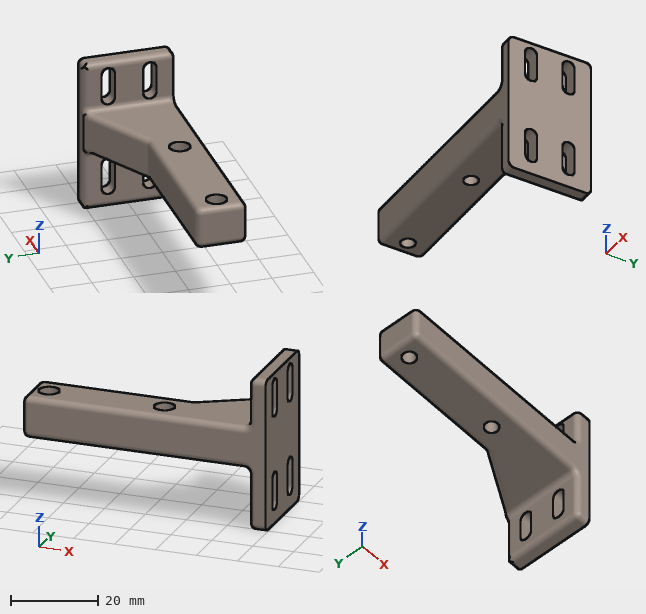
import cadquery as cq

total_length = 59.4
plate_width = 22.0
plate_height = 37.0
plate_thickness = 4.0
plate_face_x = total_length - plate_thickness

arm_width = 12.0
arm_height = 10.0
arm_center_z = 20.0
arm_bottom_z = arm_center_z - arm_height / 2
gusset_start_x = 37.5
edge_radius = 1.5
margin = 0.05
overhang = 5.95

hole_positions_x = (4.3, 32.5)
hole_y = arm_width / 2
hole_diameter = 3.55
counterbore_diameter = 4.85
counterbore_depth = arm_height / 2

slot_width = 3.15
slot_length = 9.2
slot_spacing = 10.0
slot_centers_z = (8.0, 30.95)


def make_profile_body(start_x, start_y, end_y):
    """T-shaped arm and plate with blended inner corners, swept along Y."""
    arm = cq.Workplane("XY").box(
        total_length - start_x, end_y - start_y, arm_height, centered=False
    ).translate((start_x, start_y, arm_bottom_z))
    plate = cq.Workplane("XY").box(
        plate_thickness, end_y - start_y, plate_height, centered=False
    ).translate((plate_face_x, start_y, 0))
    inner_corners = cq.selectors.BoxSelector(
        (plate_face_x - margin, start_y - margin, arm_bottom_z - margin),
        (plate_face_x + margin, end_y + margin, arm_bottom_z + arm_height + margin),
    )
    return plate.union(arm).edges("|Y").edges(inner_corners).fillet(edge_radius)


def make_gusset_body():
    """Arm and plate bounded by the slope, which runs on past the plate; edges rounded."""
    slope = (plate_width - arm_width) / (plate_face_x - gusset_start_x)
    slope_end_y = arm_width + slope * (total_length - gusset_start_x)
    plan = (
        cq.Workplane("XY")
        .lineTo(total_length, 0)
        .lineTo(total_length, slope_end_y)
        .lineTo(gusset_start_x, arm_width)
        .lineTo(0, arm_width)
        .close()
        .extrude(plate_height)
    )
    body = make_profile_body(0, 0, slope_end_y).intersect(plan)
    concave_bend = cq.selectors.BoxSelector(
        (gusset_start_x - margin, arm_width - margin, 0),
        (gusset_start_x + margin, arm_width + margin, plate_height),
    )
    body = body.edges("|Z").edges(concave_bend).fillet(edge_radius)

    def is_outer_edge(edge):
        box = edge.BoundingBox()
        on_back_face = box.xmin > total_length - margin
        spans_width = box.ymin < margin and box.ymax > arm_width + margin
        bounds_blend = spans_width and margin < box.zmin < plate_height - margin
        borders_bend = (
            edge.geomType() == "LINE"
            and box.zmax - box.zmin > arm_height - margin
            and margin < box.xmin < plate_face_x - margin
        )
        return not (on_back_face or bounds_blend or borders_bend)

    outer_edges = [edge for edge in body.edges().vals() if is_outer_edge(edge)]
    return body.newObject(outer_edges).fillet(edge_radius)


def make_far_side_envelope():
    """Oversized arm and plate whose +Y side is in place and rounded all around."""
    body = make_profile_body(-overhang, -overhang, plate_width)
    return body.faces(">Y").edges("not >X").edges("not <X").fillet(edge_radius)


def cut_arm_holes(body):
    arm_top_z = arm_bottom_z + arm_height
    return (
        body.copyWorkplane(cq.Workplane("XY", origin=(0, 0, arm_top_z)))
        .pushPoints([(x, hole_y) for x in hole_positions_x])
        .cboreHole(hole_diameter, counterbore_diameter, counterbore_depth, arm_height)
    )


def cut_plate_slots(body):
    slot_centers = [
        (plate_width / 2 + side * slot_spacing / 2, z)
        for side in (-1, 1)
        for z in slot_centers_z
    ]
    slots = (
        cq.Workplane("YZ", origin=(plate_face_x - edge_radius, 0, 0))
        .pushPoints(slot_centers)
        .slot2D(slot_length, slot_width, 90)
        .extrude(plate_thickness + edge_radius)
    )
    return body.cut(slots)


bracket = make_gusset_body().intersect(make_far_side_envelope())
result = cut_plate_slots(cut_arm_holes(bracket))